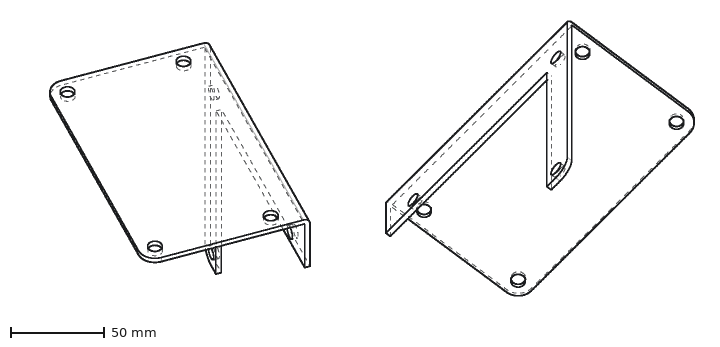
import cadquery as cq

width = 149.2
depth = 95.2
height = 155.5

thickness = 3.1
inner_bend_radius = 0.8
outer_bend_radius = inner_bend_radius + thickness

strip_height = 35.3
leg_width = 16.8

corner_radius = 9.5
hole_diameter = 8.0
plate_hole_spacing_y = 66.7
flange_hole_spacing = 117.5

left_hole_x = corner_radius
right_hole_x = width - corner_radius
front_hole_y = corner_radius
leg_hole_z = corner_radius
strip_hole_z = leg_hole_z + flange_hole_spacing


def bent_sheet():
    """Full-width L-shaped sheet with a rounded bend at the rear top edge."""
    outer = cq.Workplane("XY").box(width, depth, height, centered=False)
    outer = outer.edges(">Y and >Z").fillet(outer_bend_radius)
    inner = cq.Workplane("XY").box(width, depth - thickness, height - thickness, centered=False)
    inner = inner.edges(">Y and >Z").fillet(inner_bend_radius)
    return outer.cut(inner)


def leg_clearance():
    """Block removed beside the leg, below the strip."""
    return cq.Workplane("XY").box(
        width - leg_width, depth, height - strip_height, centered=False
    ).translate((leg_width, 0, 0))


def plate_holes():
    """Four vertical holes through the top plate."""
    points = [
        (x, y)
        for x in (left_hole_x, right_hole_x)
        for y in (front_hole_y, front_hole_y + plate_hole_spacing_y)
    ]
    drill = cq.Workplane("XY", origin=(0, 0, height - thickness))
    return drill.pushPoints(points).circle(hole_diameter / 2).extrude(thickness)


def flange_holes():
    """Two holes through the strip and one at the foot of the leg."""
    points = [
        (left_hole_x, leg_hole_z),
        (left_hole_x, strip_hole_z),
        (left_hole_x + flange_hole_spacing, strip_hole_z),
    ]
    drill = cq.Workplane("XZ", origin=(0, depth, 0))
    return drill.pushPoints(points).circle(hole_diameter / 2).extrude(thickness)


bracket = bent_sheet().cut(leg_clearance())
bracket = bracket.edges("|Z and <Y").fillet(corner_radius)
bracket = bracket.edges("|Y and <X and <Z").fillet(corner_radius)

result = bracket.cut(plate_holes()).cut(flange_holes())